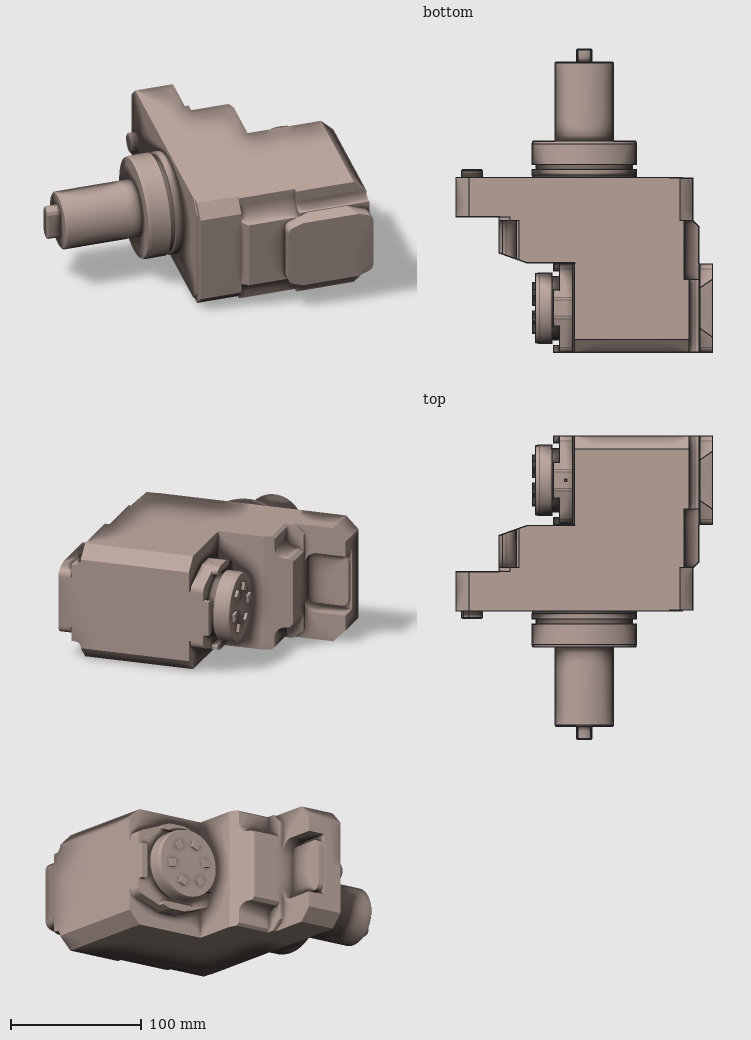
import cadquery as cq
import math

total_width = 196.0
total_length = 231.8
height = 92.0
half_height = height / 2
left_x = -total_width / 2
right_x = total_width / 2
back_y = 133.7
front_y = back_y - total_length
corner_chamfer = 10.0

plate_right_x = 83.0
plate_back_y = 30.1
pad_height = 0.7
pad_right_x = 75.0
strip_back_y = 33.1
strip_chamfer_x = 8.5
strip_chamfer_z = 7.5

pocket_floor_y = 15.3
pocket_half_width = 24.0
pocket_radius = 10.0
clamp_left_x = -97.0
clamp_top_y = 20.5
clamp_half_width = 20.0
clamp_radius = 5.0

pin_x = -85.8
pin_radius = 8.0
pin_length = 5.8
pin_chamfer = 1.0
pin_flat_distance = 7.6
pin_flat_angle = 125

ring_diameter = 80.0
ring_end_y = -6.0
ring_edge_width = 0.2
ring_edge_length = 1.9
groove_diameter = 73.7
groove_end_y = -10.0
flange_diameter = 80.0
flange_end_y = -27.5
flange_edge_width = 0.7
flange_edge_length = 2.0
shaft_diameter = 45.0
shaft_end_y = -88.0
shaft_chamfer = 1.0
key_width = 11.5
key_length = 27.5
key_side_half = 9.7
key_crown_start = 12.0
key_corner_width = 1.2
key_chamfer = 0.7

arm_left_x = -65.1
arm_back_y = 65.4
arm_end_y = 57.7
slope_start_x = -43.8
recess_x = -52.0
recess_edge_chamfer = 2.0
rib_half_height = 27.8
rib_fillet = 7.9
rib_chamfer = 2.5
spotface_diameter = 6.3
spotface_y = 58.2
spotface_z = 35.7
head_left_x = -7.5
head_right_x = 87.6
upper_start_y = 78.0
upper_face_x = 80.0
upper_shoulder_z = 31.0
upper_fillet = 4.6
lower_face_x = 76.3
lower_shoulder_z = 27.5
lower_edge_chamfer = 4.5

collar_half_width = 33.8
spindle_y = back_y - collar_half_width
collar_flat_half = 7.2
collar_side_half = 24.3
collar_fillet = 5.8
collar_left_x = -19.0
left_gap = 1.5
right_gap = 0.7
gap_neck_half_height = 19.7
tab_left_x = -23.5
tab_inner_radius = 28.5
tab_half_length = 13.7
tab_fillet = 1.6
oil_hole_diameter = 2.1
oil_hole_x = -14.1
oil_hole_depth = 2.3
taper_start_z = 31.0
taper_end_z = 28.5
neck_diameter = 48.5
nut_diameter = 54.0
nut_right_x = -24.8
nut_left_x = -37.3
nut_edge_width = 0.7
nut_edge_length = 3.0
lug_count = 6
lug_circle_radius = 16.2
lug_size = 6.0
lug_height = 2.0
lug_start_angle = -8.5


def extrude_y(sketch_points, y_start, y_end):
    """Extrude a closed X-Z outline from y_start to y_end."""
    plane = cq.Workplane("XZ", origin=(0, y_end, 0))
    return plane.polyline(sketch_points).close().extrude(y_end - y_start)


def slab(x_start, x_end, y_start, y_end, z_start, z_end):
    """Box given by its limits."""
    size = (x_end - x_start, y_end - y_start, z_end - z_start)
    return cq.Workplane("XY").box(*size, centered=False).translate((x_start, y_start, z_start))


def disc_x(diameter, x_start, x_end):
    """Cylinder about the spindle axis."""
    plane = cq.Workplane("YZ", origin=(x_start, spindle_y, 0))
    return plane.circle(diameter / 2).extrude(x_end - x_start)


def make_plate():
    plate = slab(left_x, plate_right_x, pad_height, plate_back_y, -half_height, half_height)
    plate = plate.edges("|Y").chamfer(corner_chamfer)
    pad = slab(left_x, pad_right_x, 0, pad_height, -half_height, half_height)
    pad = pad.edges("|Y").chamfer(corner_chamfer)
    strip = slab(arm_left_x, plate_right_x, plate_back_y, strip_back_y, -half_height, half_height)
    strip = strip.edges("|Y and >X").chamfer(corner_chamfer)
    for side in (1, -1):
        corner = [
            (arm_left_x, side * half_height),
            (arm_left_x + strip_chamfer_x, side * half_height),
            (arm_left_x, side * (half_height - strip_chamfer_z)),
        ]
        strip = strip.cut(extrude_y(corner, plate_back_y, strip_back_y))
    pocket = slab(
        left_x, arm_left_x, pocket_floor_y, plate_back_y, -pocket_half_width, pocket_half_width
    )
    pocket = pocket.edges("|Y and >X").fillet(pocket_radius)
    clamp = slab(
        clamp_left_x, arm_left_x, pocket_floor_y, clamp_top_y, -clamp_half_width, clamp_half_width
    )
    clamp = clamp.edges("|Y and <X").fillet(clamp_radius)
    return plate.union(pad).cut(pocket).union(clamp).union(strip)


def make_pin():
    """Locating pin with a small flat on its side."""
    pin = cq.Workplane("XZ").circle(pin_radius).extrude(pin_length)
    pin = pin.faces("<Y").edges().chamfer(pin_chamfer)
    flat = slab(
        pin_flat_distance, 2 * pin_radius, -(pin_length - pin_chamfer), 0, -pin_radius, pin_radius
    )
    flat = flat.rotate((0, 0, 0), (0, 1, 0), -pin_flat_angle)
    return pin.cut(flat).translate((pin_x, 0, 0))


def make_shaft():
    ring_radius = ring_diameter / 2
    flange_radius = flange_diameter / 2
    shaft_radius = shaft_diameter / 2
    outline = [
        (0, pad_height),
        (ring_radius - ring_edge_width, pad_height),
        (ring_radius - ring_edge_width, -ring_edge_length),
        (ring_radius, -ring_edge_length),
        (ring_radius, ring_end_y),
        (groove_diameter / 2, ring_end_y),
        (groove_diameter / 2, groove_end_y),
        (flange_radius, groove_end_y),
        (flange_radius, flange_end_y + flange_edge_length),
        (flange_radius - flange_edge_width, flange_end_y),
        (shaft_radius, flange_end_y),
        (shaft_radius, shaft_end_y + shaft_chamfer),
        (shaft_radius - shaft_chamfer, shaft_end_y),
        (0, shaft_end_y),
    ]
    return cq.Workplane("XY").polyline(outline).close().revolve(360, (0, 0, 0), (0, 1, 0))


def make_key():
    """Drive key with bevelled corners and crowned ends."""
    half_width = key_width / 2
    half_length = key_length / 2
    crown_x = half_width - key_corner_width
    key = cq.Workplane("XZ", origin=(0, shaft_end_y, 0)).moveTo(half_width, -key_side_half)
    key = key.lineTo(half_width, key_side_half)
    key = key.lineTo(crown_x, key_crown_start)
    key = key.threePointArc((0, half_length), (-crown_x, key_crown_start))
    key = key.lineTo(-half_width, key_side_half)
    key = key.lineTo(-half_width, -key_side_half)
    key = key.lineTo(-crown_x, -key_crown_start)
    key = key.threePointArc((0, -half_length), (crown_x, -key_crown_start))
    key = key.close().extrude(shaft_end_y - front_y)
    return key.faces("<Y").edges().chamfer(key_chamfer)


def fillet_mid(x_centre, z_centre, radius, x_side):
    """Middle of a concave quarter arc whose centre lies outside the material."""
    reach = radius * math.sqrt(0.5)
    return (x_centre + x_side * reach, z_centre - reach)


def stepped_block(left_points, left_arc, face_x, shoulder_z, fillet, y_start, y_end):
    """Full-height block whose right side steps down through a fillet to a shoulder."""
    arc_x = face_x + fillet
    arc_z = shoulder_z + fillet
    half = cq.Workplane("XZ", origin=(0, y_end, 0)).polyline(left_points)
    if left_arc:
        half = half.threePointArc(*left_arc)
        half = half.lineTo(recess_x, half_height - recess_edge_chamfer)
        half = half.lineTo(recess_x + recess_edge_chamfer, half_height)
    half = half.lineTo(face_x, half_height)
    half = half.lineTo(face_x, arc_z)
    half = half.threePointArc(fillet_mid(arc_x, arc_z, fillet, -1), (arc_x, shoulder_z))
    if arc_x < head_right_x:
        half = half.lineTo(head_right_x, shoulder_z)
    half = half.lineTo(head_right_x, 0).close().extrude(y_end - y_start)
    return half.union(half.mirror("XY"))


def make_arm_and_head():
    lower_fillet = head_right_x - lower_face_x
    rib_arc_x = recess_x - rib_fillet
    rib_arc_z = rib_half_height + rib_fillet
    rib_points = [
        (arm_left_x, 0),
        (arm_left_x, rib_half_height - rib_chamfer),
        (arm_left_x + rib_chamfer, rib_half_height),
        (rib_arc_x, rib_half_height),
    ]
    rib_arc = (fillet_mid(rib_arc_x, rib_arc_z, rib_fillet, 1), (recess_x, rib_arc_z))
    head_points = [(head_left_x, 0), (head_left_x, half_height)]

    lower_side = (lower_face_x, lower_shoulder_z, lower_fillet)
    upper_side = (upper_face_x, upper_shoulder_z, upper_fillet)
    arm = stepped_block(rib_points, rib_arc, *lower_side, strip_back_y, arm_back_y)
    head_base = stepped_block(head_points, None, *lower_side, arm_back_y, upper_start_y)
    head = stepped_block(head_points, None, *upper_side, upper_start_y, back_y)

    slope = [(arm_left_x, arm_back_y), (arm_left_x, arm_end_y), (slope_start_x, arm_back_y)]
    right_corner = [
        (head_right_x, strip_back_y),
        (head_right_x, strip_back_y + lower_edge_chamfer),
        (head_right_x - lower_edge_chamfer, strip_back_y),
    ]
    for triangle in (slope, right_corner):
        wedge = cq.Workplane("XY").polyline(triangle).close().extrude(half_height, both=True)
        arm = arm.cut(wedge)

    spotface = cq.Workplane("YZ", origin=(recess_x, spotface_y, spotface_z))
    arm = arm.cut(spotface.circle(spotface_diameter / 2).extrude(arm_left_x - recess_x))

    body = arm.union(head_base).union(head)
    for side in (1, -1):
        corner = [
            (back_y, side * half_height),
            (back_y - corner_chamfer, side * half_height),
            (back_y, side * (half_height - corner_chamfer)),
        ]
        plane = cq.Workplane("YZ", origin=(head_left_x, 0, 0))
        body = body.cut(plane.polyline(corner).close().extrude(upper_face_x - head_left_x))
    return body


def make_collar(x_start, x_end):
    """Flattened octagonal prism with rounded edges, centred on the spindle axis."""
    quarter = [(collar_half_width, collar_side_half), (collar_flat_half, collar_half_width)]
    upper = quarter + [(-y, z) for y, z in reversed(quarter)]
    outline = upper + [(-y, -z) for y, z in upper]
    plane = cq.Workplane("YZ", origin=(x_start, spindle_y, 0))
    collar = plane.polyline(outline).close().extrude(x_end - x_start)
    return collar.edges("|X").fillet(collar_fillet)


def make_gap_neck(x_start, x_end):
    """Flat neck that leaves a narrow gap between a collar and the head."""
    near_y = spindle_y - collar_half_width
    return slab(x_start, x_end, near_y, back_y, -gap_neck_half_height, gap_neck_half_height)


def make_left_collar():
    """Collar with four raised tabs around the spindle and a small oil hole on top."""
    base_x = head_left_x - left_gap
    collar = make_collar(collar_left_x, base_x).union(make_gap_neck(base_x, head_left_x))
    tab = slab(
        tab_left_x, collar_left_x, -tab_half_length, tab_half_length, tab_inner_radius, 2 * tab_inner_radius
    )
    tab = tab.edges("|X and <Z").fillet(tab_fillet)
    tab_envelope = make_collar(tab_left_x, collar_left_x)
    for quarter_turn in range(4):
        turned = tab.rotate((0, 0, 0), (1, 0, 0), 90 * quarter_turn).translate((0, spindle_y, 0))
        collar = collar.union(turned.intersect(tab_envelope))
    hole = cq.Workplane("XY", origin=(oil_hole_x, spindle_y, collar_half_width))
    return collar.cut(hole.circle(oil_hole_diameter / 2).extrude(-oil_hole_depth))


def make_right_collar():
    """Collar whose top and bottom taper toward the right end."""
    base_x = head_right_x + right_gap
    collar = make_collar(base_x, right_x).union(make_gap_neck(head_right_x, base_x))
    tapered = [
        (head_right_x, taper_start_z),
        (right_x, taper_end_z),
        (right_x, -taper_end_z),
        (head_right_x, -taper_start_z),
    ]
    return collar.intersect(extrude_y(tapered, spindle_y - collar_half_width, back_y))


def make_spindle():
    """Neck and round nut with a ring of small lugs on its end face."""
    neck = disc_x(neck_diameter, nut_right_x, collar_left_x)
    nut = disc_x(nut_diameter, nut_left_x, nut_right_x)
    nut = nut.faces("<X").edges().chamfer(nut_edge_length, nut_edge_width)
    spindle = neck.union(nut)
    for index in range(lug_count):
        angle = lug_start_angle + index * 360 / lug_count
        lug = cq.Workplane("YZ", origin=(nut_left_x, 0, 0)).center(lug_circle_radius, 0)
        lug = lug.rect(lug_size, lug_size).extrude(-lug_height)
        spindle = spindle.union(lug.rotate((0, 0, 0), (1, 0, 0), angle).translate((0, spindle_y, 0)))
    return spindle


result = make_plate()
for piece in (
    make_pin(),
    make_shaft(),
    make_key(),
    make_arm_and_head(),
    make_left_collar(),
    make_right_collar(),
    make_spindle(),
):
    result = result.union(piece)